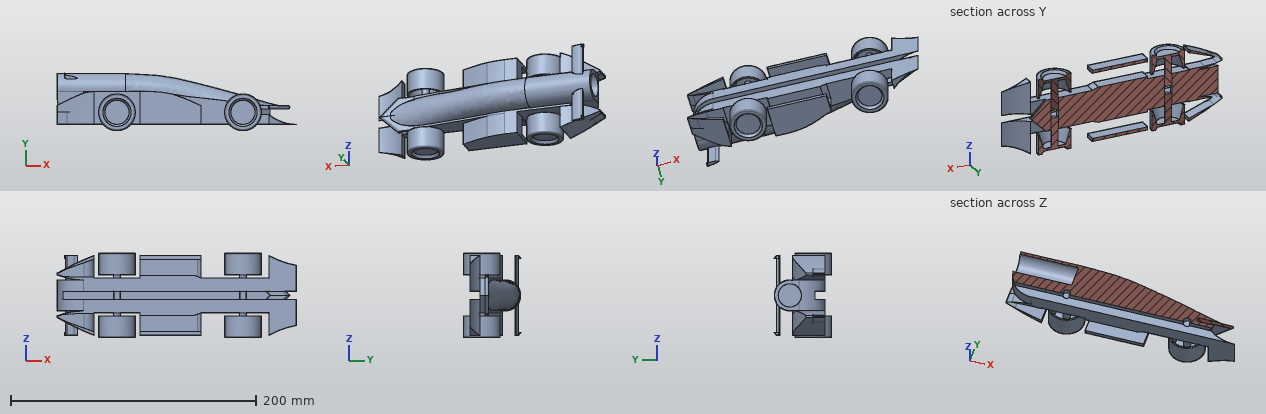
import cadquery as cq

tube_radius = 12.7
tube_axis_y = 28.9
cartridge_diameter = 19.0
cartridge_depth = 50.0
shoulder_y = 26.7
tail_radius = 21.5

chassis_half_width = 14.33
prow_x = 173.7
prow_bottom = 8.2
prow_start_x = prow_x - chassis_half_width
keel_slot_half_width = 3.22
overall_length = 195.0
flank_half_span = 32.5

shoulder_end = (78.0, shoulder_y)
shoulder_split = (93.6, 24.8)
shoulder_tangents = [(1, 0), (1, -0.2)]

tube_end_x = 55.8
canopy_stations = [
    (tube_end_x, shoulder_y, tube_axis_y + tube_radius, 12.5),
    (78.0, shoulder_y, 40.4, 12.5),
    (100.6, 23.5, 36.9, 12.5),
    (117.0, 21.6, 33.0, 12.5),
    (145.3, 18.3, 25.4, 12.5),
    (164.0, 16.0, 19.9, 10.7),
    (179.8, 14.8, 15.6, 4.9),
]
canopy_sink = 1.5

nose_bottom = 12.5
nose_thickness = 3.0
nose_shoulder_x = 172.2
nose_point_x = 187.5

wing_rear_x = 172.5
wing_height = 8.2
wing_mid_x = 184.5
wing_mid_half_span = 27.3
wing_tip_half_span = 24.5

pod_rear_x = 67.5
pod_front_x = 117.4
pod_front_height = 15.2
pod_duct_height = 13.3
pod_duct_inner_z = 16.2
pod_wall = 3.1
pod_lip = 3.1
pod_lip_rise = 1.4
pod_flare = 5.3

fin_front_x = 30.13
fin_tip_height = 15.6
fin_duct_height = 10.0
fin_duct_lip = 8.29
fin_duct_inner_z = 14.8

rear_wing_bottom = 36.9
rear_wing_top = 39.8
hook_width = 2.3
hook_top = 41.83
hook_rear_x = 5.8

axle_diameter = 6.0
axle_y = 9.85
axle_xs = (48.8, 151.5)
wheel_radius = 15.0
wheel_edge_round = 0.88
wheel_outer_z = 34.5
wheel_inner_z = 16.67
dish_depth = 2.44
dish_rim_radius = 11.5
wheel_floor_radius = 9.85
cavity_depth = 12.7
cavity_rim_radius = 13.6


def slab_z(sketch, z_from, z_to):
    """Extrude a closed X-Y outline between two Z levels."""
    return sketch.extrude(z_to - z_from).translate((0, 0, z_from))


def slab_y(plan, y_from, y_to):
    """Extrude an outline drawn in (X, Z) between two heights."""
    return plan.extrude(y_to - y_from).rotate((0, 0, 0), (1, 0, 0), 90).translate((0, y_to, 0))


def flat_plan(points):
    """Closed polygon in (X, Z), for slab_y."""
    return cq.Workplane("XY").polyline(points).close()


def with_mirror(solid):
    """A flank part together with its twin on the -Z side."""
    return solid.union(solid.mirror("XY"))


def make_tube():
    block_top = tube_axis_y + tube_radius
    half_width = canopy_stations[0][3]
    tail = (
        cq.Workplane("XY")
        .moveTo(tail_radius, 0)
        .radiusArc((0, tail_radius), tail_radius)
        .lineTo(0, block_top)
        .lineTo(tube_end_x, block_top)
        .lineTo(tube_end_x, 0)
        .close()
    )
    tube = cq.Workplane("YZ").center(tube_axis_y, 0).circle(tube_radius).extrude(tube_end_x)
    block = cq.Workplane("XY").box(
        tube_end_x, tube_axis_y, 2 * half_width, centered=(False, False, True)
    )
    return slab_z(tail, -tube_radius, tube_radius).intersect(block.union(tube))


def make_chassis():
    deck = [(x, base) for x, base, top, half in canopy_stations if x > shoulder_split[0]]
    side = (
        cq.Workplane("XY")
        .moveTo(tail_radius, 0)
        .lineTo(tail_radius, shoulder_y)
        .lineTo(*shoulder_end)
        .spline([shoulder_split], tangents=shoulder_tangents, includeCurrent=True)
        .spline(deck, tangents=[(1, -0.15), (1, -0.1)], includeCurrent=True)
        .lineTo(deck[-1][0], 0)
        .close()
    )
    chassis = slab_z(side, -chassis_half_width, chassis_half_width)
    front = cq.Workplane("XY").box(
        overall_length, overall_length, overall_length, centered=(False, False, True)
    )
    chassis = chassis.cut(front.translate((prow_start_x, prow_bottom, 0)))
    chassis = chassis.cut(front.translate((wing_rear_x, 0, 0)))
    prow = flat_plan([
        (prow_start_x, -chassis_half_width),
        (prow_x, 0),
        (prow_start_x, chassis_half_width),
    ])
    return chassis.union(slab_y(prow, prow_bottom, nose_bottom))


def make_canopy():
    sections = []
    for x, base, top, half in canopy_stations:
        sections.append(
            cq.Workplane("YZ", origin=(x, 0, 0))
            .moveTo(base - canopy_sink, -half)
            .lineTo(base, -half)
            .threePointArc((top, 0), (base, half))
            .lineTo(base - canopy_sink, half)
            .close()
            .val()
        )
    return cq.Workplane(cq.Solid.makeLoft(sections))


def make_nose_half():
    """Nose plate on the +Z side: a straight flank, then a slanted front with a half-round edge."""
    edge_radius = nose_thickness / 2
    mid_height = nose_bottom + edge_radius
    plan = flat_plan([
        (prow_start_x, 0),
        (nose_point_x, 0),
        (nose_shoulder_x, chassis_half_width),
        (prow_start_x, chassis_half_width),
    ])
    plate = slab_y(plan, nose_bottom, nose_bottom + nose_thickness)
    shoulder = cq.Vector(nose_shoulder_x, mid_height, chassis_half_width)
    edge_run = cq.Vector(nose_point_x, mid_height, 0) - shoulder
    edge_length = edge_run.Length + nose_thickness
    rounded_edge = cq.Solid.makeCylinder(edge_radius, edge_length, shoulder, edge_run)
    other_side = cq.Workplane("XY").box(
        2 * overall_length, overall_length, overall_length, centered=(True, True, False)
    ).translate((0, 0, -overall_length))
    return plate.union(cq.Workplane(rounded_edge)).cut(other_side)


def make_front_wing():
    run = overall_length - wing_rear_x
    sweep_radius = (run**2 + wing_height**2) / (2 * wing_height)
    side = (
        cq.Workplane("XY")
        .moveTo(wing_rear_x, 0)
        .lineTo(overall_length, 0)
        .radiusArc((wing_rear_x, wing_height), sweep_radius)
        .close()
    )
    plan = (
        cq.Workplane("XY")
        .moveTo(wing_rear_x, -flank_half_span)
        .threePointArc((wing_mid_x, -wing_mid_half_span), (overall_length, -wing_tip_half_span))
        .lineTo(overall_length, wing_tip_half_span)
        .threePointArc((wing_mid_x, wing_mid_half_span), (wing_rear_x, flank_half_span))
        .close()
    )
    wing = slab_z(side, -flank_half_span, flank_half_span)
    return wing.intersect(slab_y(plan, 0, wing_height))


def duct_side(rear_x, front_x, height, lip_length, lip_rise):
    """Duct profile whose roof rolls upward over a lip at the front."""
    lip_radius = (lip_length**2 + lip_rise**2) / (2 * lip_rise)
    return (
        cq.Workplane("XY")
        .moveTo(rear_x, 0)
        .lineTo(rear_x, height)
        .lineTo(front_x - lip_length, height)
        .radiusArc((front_x, height + lip_rise), -lip_radius)
        .lineTo(front_x, 0)
        .close()
    )


def make_side_pod():
    side = (
        cq.Workplane("XY")
        .moveTo(pod_rear_x, 0)
        .lineTo(pod_rear_x, shoulder_y)
        .lineTo(*shoulder_end)
        .spline([shoulder_split], tangents=shoulder_tangents, includeCurrent=True)
        .spline(
            [(105.3, 20.7), (pod_front_x, pod_front_height)],
            tangents=[(1, -0.25), (2, -1)],
            includeCurrent=True,
        )
        .lineTo(pod_front_x, 0)
        .close()
    )
    outer_z = flank_half_span - pod_wall
    duct_plan = flat_plan([
        (pod_rear_x, pod_duct_inner_z),
        (pod_front_x - pod_flare, pod_duct_inner_z),
        (pod_front_x, chassis_half_width),
        (pod_front_x, outer_z),
        (pod_rear_x, outer_z),
    ])
    duct = slab_z(
        duct_side(pod_rear_x, pod_front_x, pod_duct_height, pod_lip, pod_lip_rise), 0, outer_z
    ).intersect(slab_y(duct_plan, 0, shoulder_y))
    return slab_z(side, tube_radius, flank_half_span).cut(duct)


def make_tail_fin():
    side = (
        cq.Workplane("XY")
        .moveTo(0, 0)
        .lineTo(0, fin_tip_height)
        .spline(
            [(10.3, 20.7), (18.5, 24.4), (fin_front_x, shoulder_y)],
            tangents=[(2, 1), (1, 0)],
            includeCurrent=True,
        )
        .lineTo(fin_front_x, 0)
        .close()
    )
    plan = (
        cq.Workplane("XY")
        .moveTo(0, 16.5)
        .lineTo(0, 18.1)
        .spline([(7.8, 22.5), (fin_front_x, flank_half_span)], includeCurrent=True)
        .lineTo(fin_front_x, canopy_stations[0][3])
        .lineTo(tail_radius, canopy_stations[0][3])
        .threePointArc((8.8, 14.0), (0, 16.5))
        .close()
    )
    duct_plan = flat_plan([
        (0, 17.0),
        (0, 17.7),
        (7.8, 21.6),
        (fin_front_x, 29.6),
        (fin_front_x, fin_duct_inner_z),
        (16.0, fin_duct_inner_z),
        (4.7, 15.6),
    ])
    duct = slab_z(
        duct_side(0, fin_front_x, fin_duct_height, fin_duct_lip, fin_duct_lip), 0, flank_half_span
    ).intersect(slab_y(duct_plan, 0, shoulder_y))
    fin = slab_z(side, 0, flank_half_span).intersect(slab_y(plan, 0, shoulder_y))
    return fin.cut(duct)


def make_rear_wing():
    blade = (
        cq.Workplane("XY")
        .moveTo(7.8, rear_wing_bottom)
        .lineTo(13.6, rear_wing_bottom)
        .lineTo(16.5, 37.6)
        .threePointArc((11.7, 39.4), (7.8, rear_wing_top))
        .lineTo(6.6, rear_wing_top)
        .lineTo(6.6, 37.6)
        .close()
    )
    return slab_z(blade, -flank_half_span, flank_half_span)


def make_wing_hook():
    side = (
        cq.Workplane("XY")
        .moveTo(7.8, rear_wing_bottom)
        .lineTo(hook_rear_x, 38.2)
        .lineTo(hook_rear_x, hook_top)
        .lineTo(7.8, rear_wing_top)
        .close()
    )
    inner_z = flank_half_span - hook_width
    hook = slab_z(side, inner_z, flank_half_span)
    bevel = (
        cq.Workplane("YZ")
        .polyline([
            (hook_top, inner_z),
            (hook_top, flank_half_span),
            (rear_wing_top, flank_half_span),
        ])
        .close()
        .extrude(overall_length)
    )
    return hook.cut(bevel)


def make_wheel(x, side):
    """Wheel and its stub axle on the +Z (side = 1) or -Z (side = -1) flank."""
    half_section = (
        cq.Workplane("XZ")
        .moveTo(0, keel_slot_half_width)
        .lineTo(axle_diameter / 2, keel_slot_half_width)
        .lineTo(axle_diameter / 2, wheel_inner_z + cavity_depth)
        .lineTo(wheel_floor_radius, wheel_inner_z + cavity_depth)
        .lineTo(cavity_rim_radius, wheel_inner_z)
        .lineTo(wheel_radius, wheel_inner_z)
        .lineTo(wheel_radius, wheel_outer_z - wheel_edge_round)
        .radiusArc((wheel_radius - wheel_edge_round, wheel_outer_z), -wheel_edge_round)
        .lineTo(dish_rim_radius, wheel_outer_z)
        .lineTo(wheel_floor_radius, wheel_outer_z - dish_depth)
        .lineTo(0, wheel_outer_z - dish_depth)
        .close()
    )
    wheel = half_section.revolve(360, (0, 0, 0), (0, 1, 0))
    if side < 0:
        wheel = wheel.mirror("XY")
    return wheel.translate((x, axle_y, 0))


wheels = [make_wheel(x, side) for x in axle_xs for side in (1, -1)]
nose_half = make_nose_half()
nose_halves = [nose_half, nose_half.mirror("XY")]

keel_slot = cq.Workplane("XY").box(
    overall_length, prow_bottom, 2 * keel_slot_half_width, centered=(False, False, True)
)
cartridge_hole = (
    cq.Workplane("YZ").center(tube_axis_y, 0).circle(cartridge_diameter / 2).extrude(cartridge_depth)
)
axle_bores = (
    cq.Workplane("XY")
    .pushPoints([(x, axle_y) for x in axle_xs])
    .circle(axle_diameter / 2)
    .extrude(chassis_half_width, both=True)
)

body = (
    make_chassis()
    .union(make_tube())
    .union(make_canopy())
    .union(make_front_wing())
    .union(with_mirror(make_side_pod()))
    .union(with_mirror(make_tail_fin()))
    .union(make_rear_wing())
    .union(with_mirror(make_wing_hook()))
    .cut(keel_slot)
    .cut(cartridge_hole)
    .cut(axle_bores)
)
for half in nose_halves:
    body = body.cut(half)

result = cq.Compound.makeCompound(
    [
        body.val(),
        *[half.val() for half in nose_halves],
        *[wheel.val() for wheel in wheels],
    ]
)